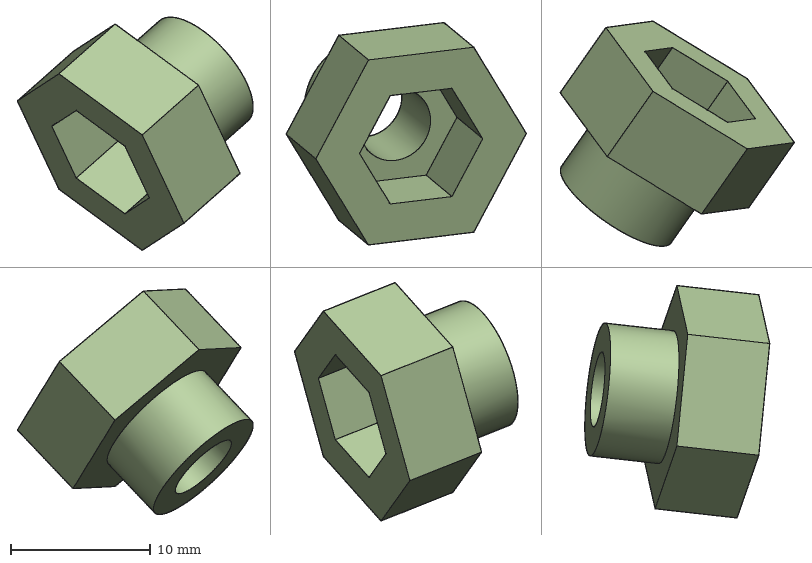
import cadquery as cq

head_corners = 16.17
head_length = 6.0
collar_diameter = 9.6
collar_length = 5.0
socket_corners = 9.46
socket_depth = 5.19
bore_diameter = 5.4
total_length = head_length + collar_length

front = cq.Workplane("XZ")

head = front.polygon(6, head_corners).extrude(-head_length)
collar = front.workplane(offset=-head_length).circle(collar_diameter / 2).extrude(-collar_length)
socket = front.polygon(6, socket_corners).extrude(-socket_depth)
bore = front.circle(bore_diameter / 2).extrude(-total_length)

result = head.union(collar).cut(socket).cut(bore)